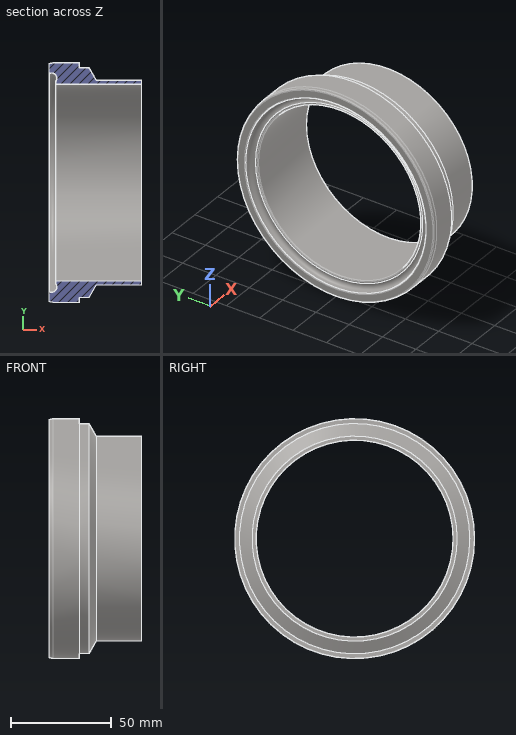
import cadquery as cq
import math

total_length = 46.0
flange_radius = 118.9 / 2
shoulder_radius = 114.0 / 2
pipe_radius = 101.5 / 2
bore_radius = 97.4 / 2

taper_end = 2.1
flange_end = 15.1
shoulder_end = 20.0
cone_end = 23.5

taper_drop = 0.4
nose_rounding = 0.5

groove_radius = 54.6
groove_rounding = 0.5
lip_outer_radius = 50.2
lip_depth = 3.3
lip_rounding = 0.5
groove_arc_radius = 2.5
groove_wall_radius = groove_radius - groove_rounding


def circle_point(center, radius, angle):
    """Point on a circle in the (axial, radial) plane, angle in degrees."""
    turn = math.radians(angle)
    return (center[0] + radius * math.cos(turn), center[1] + radius * math.sin(turn))


nose_radius = flange_radius - taper_drop
nose_center = (nose_rounding, nose_radius - nose_rounding)
edge_center = (groove_rounding, groove_radius)
lip_center = (lip_depth + lip_rounding, bore_radius + lip_rounding)

profile = (
    cq.Workplane("XY")
    .moveTo(0, nose_center[1])
    .threePointArc(circle_point(nose_center, nose_rounding, 135), (nose_rounding, nose_radius))
    .lineTo(taper_end, flange_radius)
    .lineTo(flange_end, flange_radius)
    .lineTo(flange_end, shoulder_radius)
    .lineTo(shoulder_end, shoulder_radius)
    .lineTo(cone_end, pipe_radius)
    .lineTo(total_length, pipe_radius)
    .lineTo(total_length, bore_radius)
    .lineTo(lip_center[0], bore_radius)
    .threePointArc(circle_point(lip_center, lip_rounding, 225), (lip_depth, lip_center[1]))
    .lineTo(lip_depth, lip_outer_radius)
    .radiusArc((groove_rounding, groove_wall_radius), -groove_arc_radius)
    .threePointArc(circle_point(edge_center, groove_rounding, 225), (0, groove_radius))
    .close()
)

result = profile.revolve(360, (0, 0, 0), (1, 0, 0))